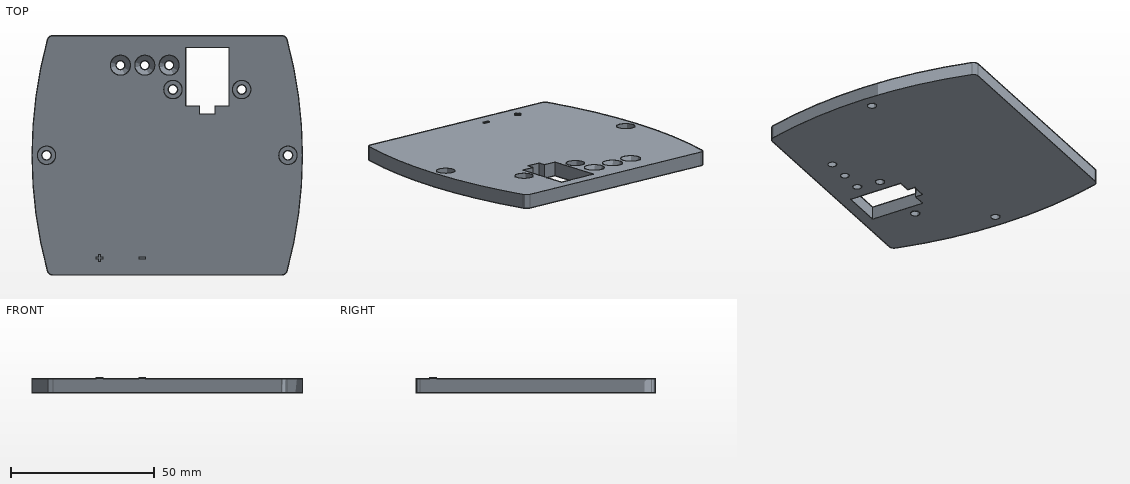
import cadquery as cq

plate_width = 94.2
plate_length = 83.4
plate_thickness = 5.0
side_bow = 5.7
corner_radius = 2.0

screw_diameter = 3.2
screw_head_diameter = 6.4
screw_head_depth = 3.0
side_screw_x = 42.0
connector_screw_y = 22.9
connector_screw_pitch = 23.9

light_count = 3
light_pitch = 8.5
light_row_x = -7.8
light_row_y = 31.4
light_top_diameter = 7.0
light_bottom_diameter = 3.0

connector_x = 13.9
window_width = 15.0
window_length = 20.25
window_back_y = 37.5
notch_width = 5.3
notch_length = 2.8

mark_height = 0.3
mark_stroke = 0.8
mark_y = -35.7
plus_x = -23.55
plus_size = 2.45
minus_x = -8.8
minus_length = 2.3


def make_plate():
    half_width = plate_width / 2
    half_length = plate_length / 2
    corner_x = half_width - side_bow
    return (
        cq.Workplane("XY")
        .moveTo(-corner_x, -half_length)
        .lineTo(corner_x, -half_length)
        .threePointArc((half_width, 0), (corner_x, half_length))
        .lineTo(-corner_x, half_length)
        .threePointArc((-half_width, 0), (-corner_x, -half_length))
        .close()
        .extrude(plate_thickness)
        .edges("|Z")
        .fillet(corner_radius)
    )


def cut_screw_holes(plate):
    half_pitch = connector_screw_pitch / 2
    centres = [
        (-side_screw_x, 0),
        (side_screw_x, 0),
        (connector_x - half_pitch, connector_screw_y),
        (connector_x + half_pitch, connector_screw_y),
    ]
    return (
        plate.faces(">Z")
        .workplane(origin=(0, 0, plate_thickness))
        .pushPoints(centres)
        .cboreHole(screw_diameter, screw_head_diameter, screw_head_depth)
    )


def cut_light_holes(plate):
    cone = cq.Solid.makeCone(light_bottom_diameter / 2, light_top_diameter / 2, plate_thickness)
    for index in range(light_count):
        x = light_row_x + (index - (light_count - 1) / 2) * light_pitch
        plate = plate.cut(cq.Workplane(cone.translate(cq.Vector(x, light_row_y, 0))))
    return plate


def box_on(x, y, z, width, length, height):
    """Box centred on x and y, standing on height z."""
    return cq.Workplane(origin=(x, y, z)).rect(width, length).extrude(height)


def cut_connector_window(plate):
    window_y = window_back_y - window_length / 2
    notch_reach = window_length + notch_length
    notch_y = window_back_y - notch_reach / 2
    window = box_on(connector_x, window_y, 0, window_width, window_length, plate_thickness)
    notch = box_on(connector_x, notch_y, 0, notch_width, notch_reach, plate_thickness)
    return plate.cut(window).cut(notch)


def add_polarity_marks(plate):
    strokes = [
        (plus_x, plus_size, mark_stroke),
        (plus_x, mark_stroke, plus_size),
        (minus_x, minus_length, mark_stroke),
    ]
    for x, width, length in strokes:
        plate = plate.union(box_on(x, mark_y, plate_thickness, width, length, mark_height))
    return plate


plate = make_plate()
plate = cut_screw_holes(plate)
plate = cut_light_holes(plate)
plate = cut_connector_window(plate)
result = add_polarity_marks(plate)